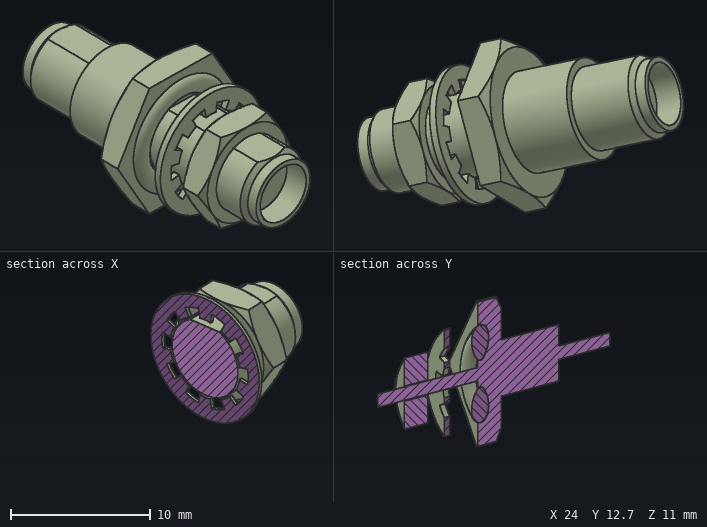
import cadquery as cq
import math

LENGTH = 24.0
THREAD_RADIUS = 3.1
TIP_RADIUS = 2.7
REAR_TIP = 0.82
FRONT_TIP = 0.86
TIP_CHAMFER = THREAD_RADIUS - TIP_RADIUS
FLAT_HEIGHT = 2.78
SLEEVE_START = 5.93
SLEEVE_RADIUS = 3.75
BORE_RADIUS = 2.3
BORE_DEPTH = 2.0

FLANGE_START = 11.28
FLANGE_WIDTH = 2.2
FLANGE_FLATS = 11.0
FLANGE_END = FLANGE_START + FLANGE_WIDTH

RING_RADIUS = 4.0
CORD_RADIUS = 0.8
RING_PROTRUSION = 0.58

WASHER_START = 16.05
WASHER_THICKNESS = 0.53
WASHER_RADIUS = 5.1
TOOTH_TIP_RADIUS = 3.25
TOOTH_ROOT_RADIUS = 4.0
TOOTH_COUNT = 10
NOTCH_ANGLE = 180 / TOOTH_COUNT

NUT_START = 18.1
NUT_WIDTH = 2.2
NUT_FLATS = 8.0

HEX_SIDES = 6
HEX_CHAMFER_ANGLE = 30


def disc(start, length, radius):
    """Cylinder along +X, with its rear face at x = start."""
    return cq.Workplane("YZ", origin=(start, 0, 0)).circle(radius).extrude(length)


def hex_prism(start, width, flats, chamfer_both_ends):
    """Hexagon along X with corners on the Y axis and its corners chamfered conically."""
    face_radius = flats / 2
    corner_radius = face_radius / math.cos(math.pi / HEX_SIDES)
    prism = (
        cq.Workplane("YZ", origin=(start, 0, 0))
        .polygon(HEX_SIDES, 2 * corner_radius)
        .extrude(width)
    )
    drop = (corner_radius - face_radius) * math.tan(math.radians(HEX_CHAMFER_ANGLE))
    end = start + width
    envelope = (
        cq.Workplane("XY")
        .moveTo(start, 0)
        .lineTo(start, face_radius)
        .lineTo(start + drop, corner_radius)
    )
    if chamfer_both_ends:
        envelope = envelope.lineTo(end - drop, corner_radius).lineTo(end, face_radius)
    else:
        envelope = envelope.lineTo(end, corner_radius)
    envelope = envelope.lineTo(end, 0).close().revolve(360, (0, 0, 0), (1, 0, 0))
    return prism.intersect(envelope)


def make_barrel():
    """Stepped barrel with a chamfered rim at each end and one long flat on top."""
    barrel = (
        cq.Workplane("XY")
        .lineTo(0, TIP_RADIUS)
        .lineTo(REAR_TIP, TIP_RADIUS)
        .lineTo(REAR_TIP + TIP_CHAMFER, THREAD_RADIUS)
        .lineTo(LENGTH - FRONT_TIP - TIP_CHAMFER, THREAD_RADIUS)
        .lineTo(LENGTH - FRONT_TIP, TIP_RADIUS)
        .lineTo(LENGTH, TIP_RADIUS)
        .lineTo(LENGTH, 0)
        .close()
        .revolve(360, (0, 0, 0), (1, 0, 0))
    )
    above_flat = cq.Workplane("XY", origin=(0, 0, FLAT_HEIGHT)).box(
        LENGTH, 2 * THREAD_RADIUS, THREAD_RADIUS, centered=(False, True, False)
    )
    return barrel.cut(above_flat)


def make_sealing_ring():
    """Round-cord ring seated in the front face of the flange."""
    ring_center = FLANGE_END + RING_PROTRUSION - CORD_RADIUS
    cord = cq.Workplane("XY").center(ring_center, RING_RADIUS).circle(CORD_RADIUS)
    return cord.revolve(360, (0, -RING_RADIUS, 0), (1, -RING_RADIUS, 0))


def make_body():
    """Barrel, sleeve and flange in one piece, with end sockets and a ring groove."""
    sleeve = disc(SLEEVE_START, FLANGE_START - SLEEVE_START, SLEEVE_RADIUS)
    flange = hex_prism(FLANGE_START, FLANGE_WIDTH, FLANGE_FLATS, chamfer_both_ends=False)
    body = make_barrel().union(sleeve).union(flange)
    for socket_start in (0, LENGTH - BORE_DEPTH):
        body = body.cut(disc(socket_start, BORE_DEPTH, BORE_RADIUS))
    return body.cut(make_sealing_ring())


def make_lock_washer():
    """Flat washer whose inner edge is notched into teeth just clear of the barrel."""
    washer = disc(WASHER_START, WASHER_THICKNESS, WASHER_RADIUS)
    washer = washer.cut(disc(WASHER_START, WASHER_THICKNESS, TOOTH_TIP_RADIUS))
    half_angle = math.radians(NOTCH_ANGLE / 2)
    corner = (TOOTH_ROOT_RADIUS * math.cos(half_angle), TOOTH_ROOT_RADIUS * math.sin(half_angle))
    notch = (
        cq.Workplane("YZ", origin=(WASHER_START, 0, 0))
        .lineTo(corner[0], -corner[1])
        .threePointArc((TOOTH_ROOT_RADIUS, 0), corner)
        .close()
        .extrude(WASHER_THICKNESS)
    )
    for index in range(TOOTH_COUNT):
        angle = index * 360 / TOOTH_COUNT
        washer = washer.cut(notch.rotate((0, 0, 0), (1, 0, 0), angle))
    return washer


def make_nut():
    """Hexagonal nut on the barrel, chamfered at both ends."""
    nut = hex_prism(NUT_START, NUT_WIDTH, NUT_FLATS, chamfer_both_ends=True)
    return nut.cut(disc(NUT_START, NUT_WIDTH, THREAD_RADIUS))


body = make_body()
sealing_ring = make_sealing_ring()
lock_washer = make_lock_washer()
nut = make_nut()

result = cq.Compound.makeCompound(
    [body.val(), sealing_ring.val(), lock_washer.val(), nut.val()]
)